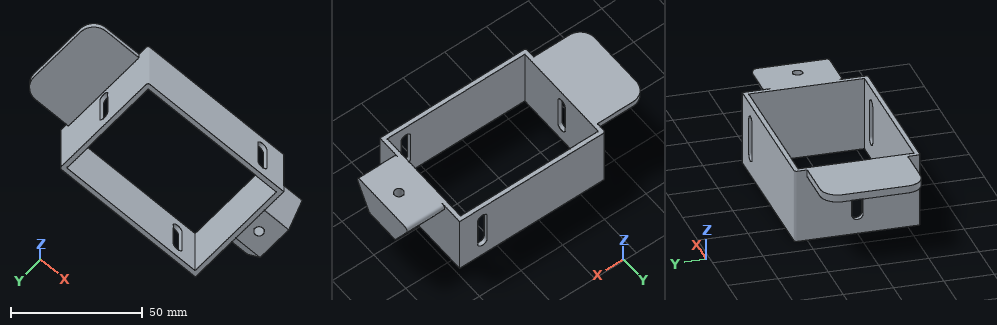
import cadquery as cq
import math

SLEEVE_LENGTH = 70.0
SLEEVE_WIDTH = 50.0
SLEEVE_HEIGHT = 30.0
WALL = 2.0
EDGE_RADIUS = 1.0

TAB_LENGTH = 24.0
TAB_WIDTH = 40.0
TAB_THICKNESS = 3.0
TAB_CORNER_RADIUS = 7.0

LUG_LENGTH = 18.0
LUG_HEIGHT = SLEEVE_HEIGHT / 2
LUG_FLAT_WIDTH = 28.0
LUG_EDGE_RADIUS = 1.6
LUG_FLANK_ANGLE = 30.0
LUG_HOLE_DIAMETER = 4.0
LUG_HOLE_FROM_SLEEVE = 10.0

SLOT_WIDTH = 4.5
SLOT_LENGTH = 19.0
SLOT_BOTTOM = 6.0
UPRIGHT = 90.0
SIDE_SLOT_FROM_END = 11.0

SLEEVE_END = SLEEVE_LENGTH / 2
SLOT_CENTRE_HEIGHT = SLOT_BOTTOM + SLOT_LENGTH / 2


def make_sleeve():
    outer = (
        cq.Workplane("XY")
        .rect(SLEEVE_LENGTH, SLEEVE_WIDTH)
        .extrude(SLEEVE_HEIGHT)
        .edges("|Z and <X")
        .fillet(EDGE_RADIUS)
    )
    opening = (
        cq.Workplane("XY")
        .rect(SLEEVE_LENGTH - 2 * WALL, SLEEVE_WIDTH - 2 * WALL)
        .extrude(SLEEVE_HEIGHT)
    )
    return outer.cut(opening)


def make_tab():
    length = TAB_LENGTH + WALL
    centre_x = -SLEEVE_END + WALL - length / 2
    return (
        cq.Workplane("XY", origin=(centre_x, 0, SLEEVE_HEIGHT - TAB_THICKNESS))
        .rect(length, TAB_WIDTH)
        .extrude(TAB_THICKNESS)
        .edges("|Z and <X")
        .fillet(TAB_CORNER_RADIUS)
    )


def make_lug():
    lean = math.radians(LUG_FLANK_ANGLE)
    half_corner_angle = (math.pi / 2 - lean) / 2
    half_top = LUG_FLAT_WIDTH / 2 + LUG_EDGE_RADIUS / math.tan(half_corner_angle)
    half_bottom = half_top - LUG_HEIGHT * math.tan(lean)
    lug_bottom = SLEEVE_HEIGHT - LUG_HEIGHT
    body = (
        cq.Workplane("YZ", origin=(SLEEVE_END, 0, 0))
        .moveTo(-half_bottom, lug_bottom)
        .lineTo(half_bottom, lug_bottom)
        .lineTo(half_top, SLEEVE_HEIGHT)
        .lineTo(-half_top, SLEEVE_HEIGHT)
        .close()
        .extrude(LUG_LENGTH)
        .edges("|X and >Z")
        .fillet(LUG_EDGE_RADIUS)
    )
    hole = (
        cq.Workplane("XY", origin=(SLEEVE_END + LUG_HOLE_FROM_SLEEVE, 0, lug_bottom))
        .circle(LUG_HOLE_DIAMETER / 2)
        .extrude(LUG_HEIGHT)
    )
    return body.cut(hole)


def make_side_slots():
    return (
        cq.Workplane("XZ", origin=(SLEEVE_END - SIDE_SLOT_FROM_END, 0, SLOT_CENTRE_HEIGHT))
        .slot2D(SLOT_LENGTH, SLOT_WIDTH, UPRIGHT)
        .extrude(SLEEVE_WIDTH / 2, both=True)
    )


def make_tab_end_slot():
    return (
        cq.Workplane("YZ", origin=(-SLEEVE_END, 0, SLOT_CENTRE_HEIGHT))
        .slot2D(SLOT_LENGTH, SLOT_WIDTH, UPRIGHT)
        .extrude(WALL)
    )


result = (
    make_sleeve()
    .union(make_tab())
    .union(make_lug())
    .cut(make_side_slots())
    .cut(make_tab_end_slot())
)